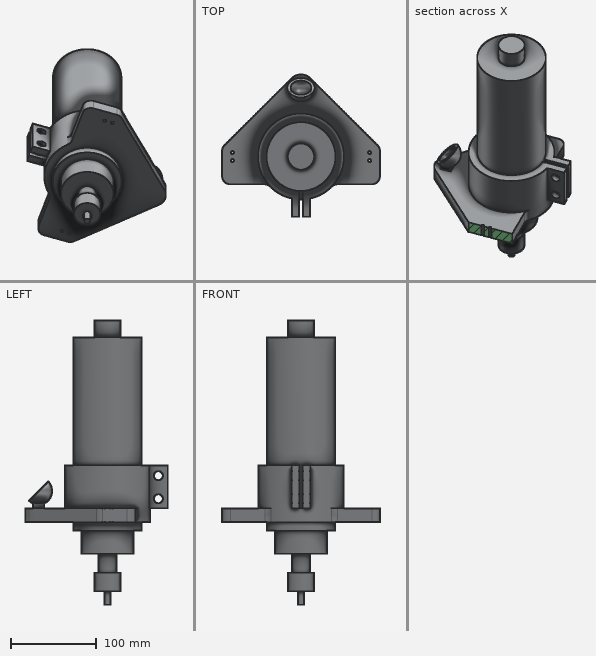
import cadquery as cq
import math

collet_bottom = 15.5
collet_top = 37.5
nose_bottom = 59.2
body_bottom = 86.5
plate_bottom = 96.3
plate_top = 112.2
clamp_top = 162.2
body_top = 311.0
cap_top = 331.0

tool_radius = 3.5
collet_radius = 15.2
shank_radius = 10.5
nose_radius = 30.5
body_radius = 40.0
cap_radius = 15.2

plate_half_width = 92.0
plate_front_y = -32.5
shoulder_y = 10.3
plate_back_y = 95.5
apex_radius = 15.0
corner_radius = 10.0
screw_hole_diameter = 3.3
screw_hole_x = 79.8
screw_hole_spacing = 9.3

clamp_radius = 50.0
slot_width = 4.5
lug_thickness = 8.3
lug_front_y = -70.2
bolt_hole_diameter = 10.3
bolt_hole_y = -59.2
bolt_hole_heights = (123.5, 150.3)

cup_y = 80.0
cup_z = 132.5
cup_radius = 16.0
cup_inner_radius = 12.0
cup_tilt = 45
post_width = 13.2


def cylinder(radius, bottom, top):
    """Cylinder on the spindle axis between two heights."""
    return cq.Workplane("XY").workplane(offset=bottom).circle(radius).extrude(top - bottom)


def box_between(x_min, x_max, y_min, y_max, z_min, z_max):
    """Axis-aligned box given by its limits."""
    return cq.Workplane("XY").box(
        x_max - x_min, y_max - y_min, z_max - z_min, centered=False
    ).translate((x_min, y_min, z_min))


def make_spindle():
    """Stepped shaft from the tool tip up to the cap."""
    spindle = cylinder(tool_radius, 0, collet_bottom)
    steps = (
        (collet_radius, collet_bottom, collet_top),
        (shank_radius, collet_top, nose_bottom),
        (nose_radius, nose_bottom, body_bottom),
        (body_radius, body_bottom, body_top),
        (cap_radius, body_top, cap_top),
    )
    for radius, bottom, top in steps:
        spindle = spindle.union(cylinder(radius, bottom, top))
    return spindle


def make_plate():
    """Rounded plate that blends into the clamp ring at its front edge."""
    sharp_apex_y = plate_back_y + apex_radius * (math.sqrt(2) - 1)
    thickness = plate_top - plate_bottom
    plate = (
        cq.Workplane("XY")
        .workplane(offset=plate_bottom)
        .polyline([
            (-plate_half_width, plate_front_y),
            (plate_half_width, plate_front_y),
            (plate_half_width, shoulder_y),
            (0, sharp_apex_y),
            (-plate_half_width, shoulder_y),
        ])
        .close()
        .extrude(thickness)
    )
    plate = plate.edges("|Z and >Y").fillet(apex_radius)
    plate = plate.edges("|Z and (<X or >X)").fillet(corner_radius)
    screw_holes = (
        cq.Workplane("XY")
        .workplane(offset=plate_bottom)
        .rect(2 * screw_hole_x, screw_hole_spacing, forConstruction=True)
        .vertices()
        .circle(screw_hole_diameter / 2)
        .extrude(thickness)
    )
    ring_base = cylinder(clamp_radius, plate_bottom, plate_top)
    plate = plate.cut(screw_holes).union(ring_base)
    pick_margin = 0.3
    inner_corners = cq.selectors.BoxSelector(
        (-clamp_radius, plate_front_y - pick_margin, plate_bottom),
        (clamp_radius, plate_front_y + pick_margin, plate_top),
    )
    return plate.edges("|Z").edges(inner_corners).fillet(corner_radius)


def make_clamp():
    """Clamp ring above the plate, with two bolted lugs and a slot between them."""
    lug_outer_x = slot_width / 2 + lug_thickness
    lugs = box_between(-lug_outer_x, lug_outer_x, lug_front_y, 0, plate_top, clamp_top)
    slot = box_between(-slot_width / 2, slot_width / 2, lug_front_y, 0, plate_top, clamp_top)
    clamp = cylinder(clamp_radius, plate_top, clamp_top).union(lugs).cut(slot)
    bolt_holes = (
        cq.Workplane("YZ")
        .pushPoints([(bolt_hole_y, height) for height in bolt_hole_heights])
        .circle(bolt_hole_diameter / 2)
        .extrude(lug_outer_x, both=True)
    )
    return clamp.cut(bolt_holes)


def make_cup():
    """Hollow hemisphere opening up and toward +Y, standing on its post."""
    cup_center = (0, cup_y, cup_z)
    upper_half = cq.Workplane("XY").box(
        2 * cup_radius, 2 * cup_radius, cup_radius, centered=(True, True, False)
    )
    lower_half = cq.Workplane("XY").sphere(cup_radius).cut(upper_half)
    bowl = lower_half.rotate((0, 0, 0), (1, 0, 0), -cup_tilt).translate(cup_center)
    post = box_between(
        -post_width / 2, post_width / 2,
        cup_y - post_width / 2, cup_y + post_width / 2,
        plate_top, cup_z - cup_inner_radius,
    )
    hollow = cq.Workplane("XY").sphere(cup_inner_radius).translate(cup_center)
    return bowl.union(post).cut(hollow)


result = make_plate().union(make_clamp()).union(make_spindle()).union(make_cup())